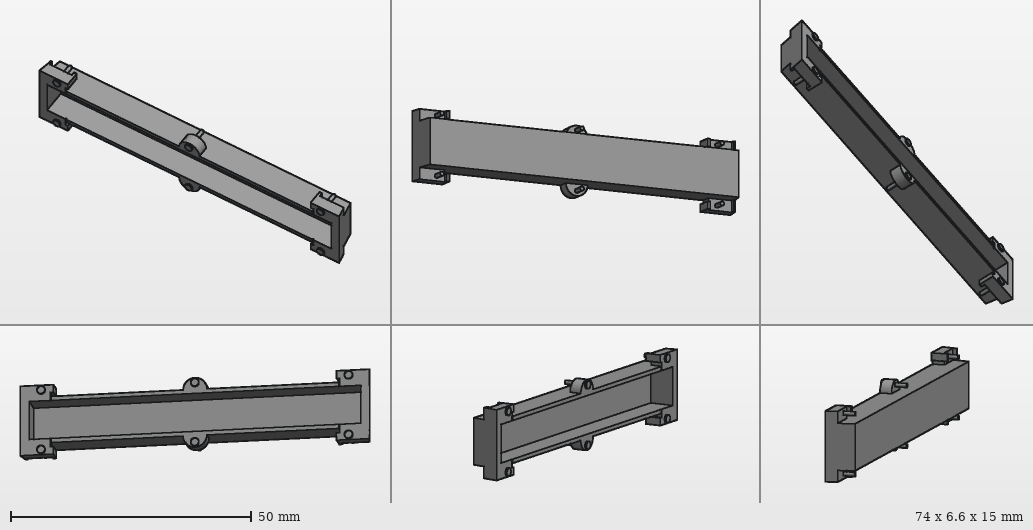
import cadquery as cq

length = 74.0
depth = 6.2
end_taper = 1.1
body_height = 10.0
flange_height = 15.0

pocket_length = 70.2
pocket_height = 8.2
pocket_depth = 5.3

flange_length = 7.0
flange_depth = 2.6
ridge_depth = 3.5
ridge_width = 0.7
left_ridge_inset = 0.95
notch_height = 0.9
groove_width = 0.2
groove_depth = 0.2

ear_radius = (flange_height - body_height) / 2

pin_spacing = 32.55
pin_height = 6.45
head_diameter = 1.7
head_thickness = 0.4
shaft_diameter = 0.9
shaft_end = 5.1

half_length = length / 2
flange_inner = half_length - flange_length
step_x = flange_inner + ridge_width


def block(x_range, y_range, z_range):
    """Box spanning the given (low, high) ranges."""
    (x0, x1), (y0, y1), (z0, z1) = x_range, y_range, z_range
    return cq.Workplane("XY").box(x1 - x0, y1 - y0, z1 - z0, centered=False).translate((x0, y0, z0))


def tapered_block(height):
    """Full-length block whose end faces lean inward towards the back."""
    back_half = half_length - end_taper
    outline = [(-half_length, 0), (half_length, 0), (back_half, depth), (-back_half, depth)]
    return cq.Workplane("XY").polyline(outline).close().extrude(height / 2, both=True)


def y_cylinder(diameter, y_start, y_end, x, z):
    """Cylinder along Y between two Y positions."""
    disc = cq.Workplane("XZ", origin=(x, y_start, z)).circle(diameter / 2)
    return disc.extrude(y_start - y_end)


def make_flanges():
    """Both end flanges, with the ridges on their backs and the slits beside the body."""
    z_range = (-flange_height / 2, flange_height / 2)
    flanges = tapered_block(flange_height)
    flanges = flanges.cut(block((-flange_inner, flange_inner), (0, depth), z_range))
    flanges = flanges.cut(block((-half_length, half_length), (ridge_depth, depth), z_range))

    lowered = (flange_depth, ridge_depth)
    flanges = flanges.cut(block((-half_length + left_ridge_inset, -step_x), lowered, z_range))
    flanges = flanges.cut(block((step_x, half_length), lowered, z_range))

    slit_top = body_height / 2 + notch_height
    return flanges.cut(block((-step_x, step_x), (0, depth), (-slit_top, slit_top)))


def make_ears():
    """Round ears in the middle of the long sides; the body hides their inner halves."""
    ears = cq.Workplane("XY")
    for side in (-1, 1):
        centre_z = side * body_height / 2
        ears = ears.add(y_cylinder(2 * ear_radius, 0, flange_depth, 0, centre_z))
    return ears.combine()


def make_pin(x, z):
    """Headed pin, head to the front."""
    head = y_cylinder(head_diameter, -head_thickness, 0, x, z)
    return head.union(y_cylinder(shaft_diameter, 0, shaft_end, x, z))


def make_housing(pins):
    """Trough with flanges and ears, grooved rims and a hole for every pin."""
    housing = tapered_block(body_height).union(make_flanges()).union(make_ears())
    housing = housing.cut(block(
        (-pocket_length / 2, pocket_length / 2),
        (0, pocket_depth),
        (-pocket_height / 2, pocket_height / 2),
    ))
    rim_range = (-body_height / 2, body_height / 2)
    for groove_x in ((-step_x, -step_x + groove_width), (step_x - groove_width, step_x)):
        housing = housing.cut(block(groove_x, (0, groove_depth), rim_range))
    for pin in pins:
        housing = housing.cut(pin)
    return housing


pins = [
    make_pin(x, side * pin_height)
    for x in (-pin_spacing, 0, pin_spacing)
    for side in (-1, 1)
]
housing = make_housing(pins)

result = cq.Compound.makeCompound([housing.val(), *[pin.val() for pin in pins]])